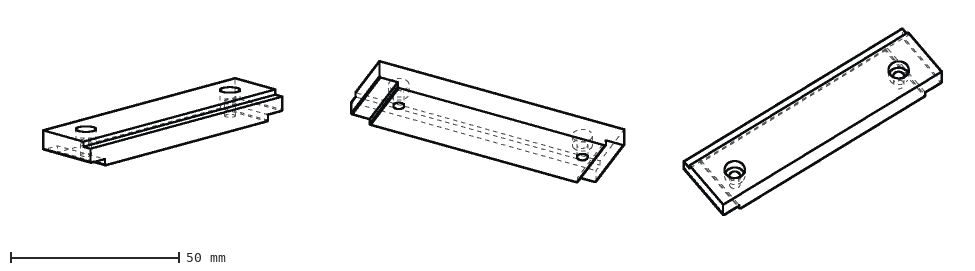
import cadquery as cq

width = 20.0
length = 80.0
height = 8.0

ledge_width = 3.0
ledge_depth = 1.6

tongue_height = 2.0
tongue_setback = 6.0

edge_chamfer = 0.3

hole_diameter = 3.2
bore_diameter = 6.0
bore_depth = 3.5
hole_from_side = 8.0
hole_from_end = 10.0


def side_profile():
    """Closed outline in the YZ plane, with the lower edges chamfered."""
    end = length / 2
    tongue_end = end - tongue_setback
    return (
        cq.Workplane("YZ")
        .moveTo(0, 0)
        .lineTo(tongue_end - edge_chamfer, 0)
        .lineTo(tongue_end, edge_chamfer)
        .lineTo(tongue_end, tongue_height)
        .lineTo(end - edge_chamfer, tongue_height)
        .lineTo(end, tongue_height + edge_chamfer)
        .lineTo(end, height)
        .lineTo(0, height)
        .mirrorY()
    )


body = side_profile().extrude(width)

ledge_cut = cq.Workplane("XY").box(ledge_width, length, ledge_depth, centered=(False, True, False))
body = body.cut(ledge_cut.translate((width - ledge_width, 0, height - ledge_depth)))

hole_y = length / 2 - hole_from_end
result = (
    body.faces(">Z")
    .workplane(origin=(0, 0, height))
    .pushPoints([(hole_from_side, -hole_y), (hole_from_side, hole_y)])
    .cboreHole(hole_diameter, bore_diameter, bore_depth)
)